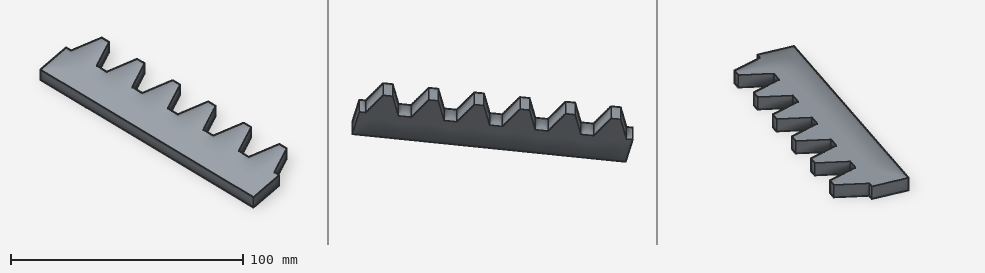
import cadquery as cq

length = 119.6
total_width = 31.7
thickness = 6.3

tooth_count = 6
tooth_height = 14.4
tip_width = 4.2
root_width = 14.4

pitch = length / tooth_count
root_y = total_width - tooth_height


def tooth_points(center_x):
    """Corners of one tooth, from left root to right root."""
    return [
        (center_x - root_width / 2, root_y),
        (center_x - tip_width / 2, total_width),
        (center_x + tip_width / 2, total_width),
        (center_x + root_width / 2, root_y),
    ]


outline = [(0, 0), (0, root_y)]
for index in range(tooth_count):
    outline += tooth_points((index + 0.5) * pitch)
outline += [(length, root_y), (length, 0)]

result = cq.Workplane("XY").polyline(outline).close().extrude(thickness)